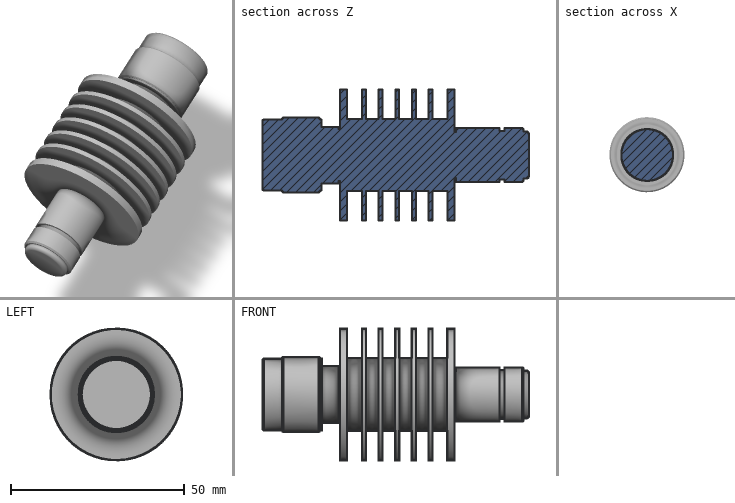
import cadquery as cq

length = 77.0

sleeve_end = 17.2
sleeve_radius = 10.4
front_edge_width = 0.5
front_face_radius = 10.0
grip_start = 5.6
grip_end = 16.6
grip_radius = 10.85
grip_chamfer = 0.4
left_neck_radius = 8.25

sink_start = 22.3
sink_end = 55.5
disc_radius = 19.0
core_radius = 10.55
end_plate_thickness = 2.15
fin_thickness = 1.2
fin_count = 5
fin_span = 19.25
fin_pitch = fin_span / (fin_count - 1)

undercut_width = 0.3
left_undercut_radius = 7.55
right_undercut_radius = 6.8

barrel_radius = 7.85
barrel_end = 75.45
barrel_chamfer = 0.5
groove_start = 68.5
groove_width = 1.4
groove_radius = 7.1
tip_radius = 6.9
tip_fillet = 0.9


def cylinder(start, end, radius):
    """Cylinder along X between two axial positions."""
    return cq.Workplane("YZ", origin=(start, 0, 0)).circle(radius).extrude(end - start)


def make_left_connector():
    left_undercut_start = sink_start - undercut_width
    sleeve = (
        cylinder(0, sleeve_end, sleeve_radius)
        .faces("<X")
        .chamfer(front_edge_width, sleeve_radius - front_face_radius)
    )
    grip = cylinder(grip_start, grip_end, grip_radius).faces("<X or >X").chamfer(grip_chamfer)
    neck = cylinder(sleeve_end, left_undercut_start, left_neck_radius)
    undercut = cylinder(left_undercut_start, sink_start, left_undercut_radius)
    return sleeve.union(grip).union(neck).union(undercut)


def make_heat_sink():
    sink = cylinder(sink_start, sink_end, core_radius)
    sink = sink.union(cylinder(sink_start, sink_start + end_plate_thickness, disc_radius))
    sink = sink.union(cylinder(sink_end - end_plate_thickness, sink_end, disc_radius))
    sink_middle = (sink_start + sink_end) / 2
    for index in range(fin_count):
        fin_middle = sink_middle - fin_span / 2 + index * fin_pitch
        fin_start = fin_middle - fin_thickness / 2
        sink = sink.union(cylinder(fin_start, fin_start + fin_thickness, disc_radius))
    return sink


def make_right_connector():
    barrel_start = sink_end + undercut_width
    groove_end = groove_start + groove_width
    undercut = cylinder(sink_end, barrel_start, right_undercut_radius)
    rear_barrel = cylinder(barrel_start, groove_start, barrel_radius)
    groove_floor = cylinder(groove_start, groove_end, groove_radius)
    front_barrel = cylinder(groove_end, barrel_end, barrel_radius).faces(">X").chamfer(barrel_chamfer)
    tip = cylinder(barrel_end, length, tip_radius).faces(">X").fillet(tip_fillet)
    return undercut.union(rear_barrel).union(groove_floor).union(front_barrel).union(tip)


result = make_left_connector().union(make_heat_sink()).union(make_right_connector())